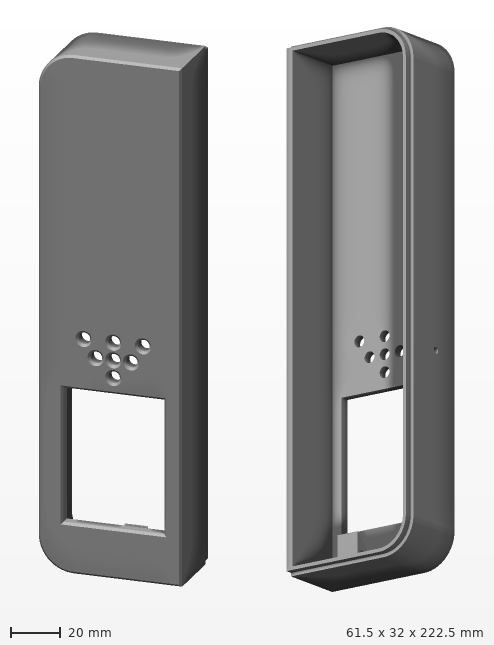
import cadquery as cq

WIDTH = 61.5
DEPTH = 32.0
HEIGHT = 222.5
FRONT_CHAMFER = 1.0
CORNER_RADIUS = 15.1

LIP_INSET = 1.5
SIDE_WALL = 2 * LIP_INSET
FRONT_WALL = 5.0

LIP_DEPTH = 3.1

WINDOW_WIDTH = 43.2
WINDOW_HEIGHT = 57.6
WINDOW_CENTER_X = 32.3
WINDOW_CENTER_Z = 50.5
WINDOW_CHAMFER = 1.0

HOLE_DIAMETER = 5.0
HOLE_MOUTH_DIAMETER = 7.0
HOLE_ROW_PITCH = 7.5
TOP_ROW_PITCH = 12.7
MIDDLE_ROW_PITCH = 7.5
MIDDLE_ROW_Z = 94.0

SIDE_HOLE_DIAMETER = 3.0
SIDE_HOLE_Y = 13.5
SIDE_HOLE_Z = 87.9

SUPPORT_WIDTH = 10.0
SUPPORT_HEIGHT = 9.1
SUPPORT_CENTER_X = WIDTH / 2


def rounded_slab(inset, right_inset, y_start, y_end):
    """Slab inside the body outline, with its two -X corners rounded about the body's corner centres."""
    return (
        cq.Workplane("XY")
        .box(WIDTH - inset - right_inset, y_end - y_start, HEIGHT - 2 * inset, centered=False)
        .translate((inset, y_start, inset))
        .edges("|Y and <X")
        .fillet(CORNER_RADIUS - inset)
    )


def make_shell():
    """Box open at the back, with a chamfered front rim and a stepped lip."""
    body = rounded_slab(0, 0, 0, DEPTH - LIP_DEPTH).faces("<Y").chamfer(FRONT_CHAMFER)
    lip = rounded_slab(LIP_INSET, 0, DEPTH - LIP_DEPTH, DEPTH)
    cavity = rounded_slab(SIDE_WALL, SIDE_WALL, FRONT_WALL, DEPTH)
    return body.union(lip).cut(cavity)


def make_support():
    """Wedge on the inside of the bottom wall, flush with the open back."""
    base_z = LIP_INSET
    size = SUPPORT_HEIGHT + SIDE_WALL - base_z
    return (
        cq.Workplane("YZ", origin=(SUPPORT_CENTER_X - SUPPORT_WIDTH / 2, 0, 0))
        .moveTo(DEPTH - size, base_z)
        .lineTo(DEPTH, base_z)
        .lineTo(DEPTH, base_z + size)
        .close()
        .extrude(SUPPORT_WIDTH)
    )


def make_window():
    """Cutter for the window, widening toward the front face."""
    opening = (
        cq.Workplane("XY")
        .box(WINDOW_WIDTH, FRONT_WALL, WINDOW_HEIGHT, centered=(True, False, True))
    )
    mouth = (
        cq.Workplane("XZ")
        .rect(WINDOW_WIDTH + 2 * WINDOW_CHAMFER, WINDOW_HEIGHT + 2 * WINDOW_CHAMFER)
        .workplane(offset=-WINDOW_CHAMFER)
        .rect(WINDOW_WIDTH, WINDOW_HEIGHT)
        .loft(ruled=True)
    )
    return opening.union(mouth).translate((WINDOW_CENTER_X, 0, WINDOW_CENTER_Z))


def make_countersunk_hole(x, z):
    """Cutter for one hole through the front wall with a 45 degree countersink."""
    mouth_radius = HOLE_MOUTH_DIAMETER / 2
    hole_radius = HOLE_DIAMETER / 2
    sink_depth = mouth_radius - hole_radius
    start = cq.Vector(x, 0, z)
    inward = cq.Vector(0, 1, 0)
    bore = cq.Solid.makeCylinder(hole_radius, FRONT_WALL, start, inward)
    sink = cq.Solid.makeCone(mouth_radius, hole_radius, sink_depth, start, inward)
    return bore.fuse(sink)


def hole_positions():
    """Three holes in the top row, three closer together below, and one at the bottom."""
    top_z = MIDDLE_ROW_Z + HOLE_ROW_PITCH
    bottom_z = MIDDLE_ROW_Z - HOLE_ROW_PITCH
    positions = [(WINDOW_CENTER_X, bottom_z)]
    for step in (-1, 0, 1):
        positions.append((WINDOW_CENTER_X + step * TOP_ROW_PITCH, top_z))
        positions.append((WINDOW_CENTER_X + step * MIDDLE_ROW_PITCH, MIDDLE_ROW_Z))
    return positions


def make_side_hole():
    """Cutter for the small hole through the -X wall."""
    start = cq.Vector(0, SIDE_HOLE_Y, SIDE_HOLE_Z)
    return cq.Solid.makeCylinder(SIDE_HOLE_DIAMETER / 2, SIDE_WALL, start, cq.Vector(1, 0, 0))


result = make_shell().union(make_support()).cut(make_window()).cut(make_side_hole())
for hole_x, hole_z in hole_positions():
    result = result.cut(make_countersunk_hole(hole_x, hole_z))